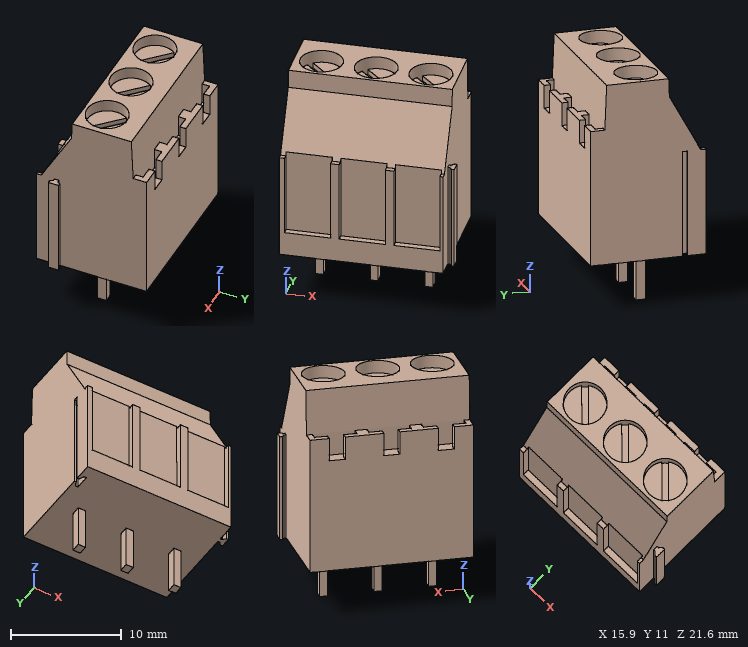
import cadquery as cq


pole_count = 3
pole_pitch = 5.08
overall_width = 15.9
overall_height = 21.6
housing_depth = 11.0
housing_width = pole_count * pole_pitch
pole_centers = [(pole + 0.5) * pole_pitch for pole in range(pole_count)]

pin_length = 4.5
pin_width = 0.75
pin_thickness = 0.9
pin_from_back = 5.46
pin_y = housing_depth - pin_from_back

housing_height = overall_height - pin_length
front_height = 10.0
front_shelf = 0.5
top_front_y = 3.5
top_front_height = 1.73
top_front_lean = 0.06
ledge_height = 12.85
ledge_depth = 1.35
back_wall_lean = 0.17

recess_width = 4.28
recess_bottom_depth = 0.63
recess_top_depth = 0.67
recess_bottom = 2.31
recess_top = 10.8
recess_center_offset = 0.1

t_stem_width = 1.5
t_stem_depth = 0.6
t_slot_drop = 2.15

screw_diameter = 3.95
screw_length = 3.02
screw_sink = 1.2
screw_from_back = 5.12
screw_y = housing_depth - screw_from_back
screw_top = housing_height - screw_sink
driver_slot_width = 0.6
driver_slot_depth = 0.5
driver_slot_angle = -45

dovetail_reach = overall_width - housing_width
dovetail_neck_width = 0.45
rail_head_width = 1.04
groove_head_width = 1.43
dovetail_neck_length = 0.2
dovetail_flare_end = 0.43
dovetail_y = 2.03


def make_profile_block():
    """Extrude the side profile of the housing across its width."""
    back_wall_y = housing_depth - ledge_depth
    outline = [
        (0, 0),
        (0, front_height),
        (front_shelf, front_height),
        (top_front_y, housing_height - top_front_height),
        (top_front_y + top_front_lean, housing_height),
        (back_wall_y - back_wall_lean, housing_height),
        (back_wall_y, ledge_height),
        (housing_depth, ledge_height),
        (housing_depth, 0),
    ]
    return cq.Workplane("YZ").polyline(outline).close().extrude(housing_width)


def make_dovetail(root_x, head_width):
    """Dovetail bar whose neck starts at root_x and whose head points to +X."""
    half_neck = dovetail_neck_width / 2
    half_head = head_width / 2
    outline = [
        (0, -half_neck),
        (dovetail_neck_length, -half_neck),
        (dovetail_flare_end, -half_head),
        (dovetail_reach, -half_head),
        (dovetail_reach, half_head),
        (dovetail_flare_end, half_head),
        (dovetail_neck_length, half_neck),
        (0, half_neck),
    ]
    bar = cq.Workplane("XY").polyline(outline).close().extrude(front_height)
    return bar.translate((root_x, dovetail_y, 0))


def make_wire_recess(pole_x):
    """Pocket in the front face, slightly deeper towards the top, that cuts into the sloping face."""
    outline = [
        (0, recess_bottom),
        (recess_bottom_depth, recess_bottom),
        (recess_top_depth, recess_top),
        (0, recess_top),
    ]
    pocket = cq.Workplane("YZ").polyline(outline).close().extrude(recess_width / 2, both=True)
    return pocket.translate((pole_x + recess_center_offset, 0, 0))


def make_t_slot(pole_x):
    """T-shaped pocket in the ledge: a narrow stem open to the back and a wide bar at the wall."""
    bar_depth = ledge_depth - t_stem_depth
    bar = cq.Workplane("XY").box(screw_diameter, bar_depth, t_slot_drop, centered=(True, False, False))
    stem = cq.Workplane("XY").box(t_stem_width, ledge_depth, t_slot_drop, centered=(True, False, False))
    return bar.union(stem).translate((pole_x, housing_depth - ledge_depth, ledge_height - t_slot_drop))


def make_screw_hole(pole_x):
    """Blind round hole from the top face down to the lower end of the screw."""
    hole = cq.Workplane("XY").circle(screw_diameter / 2).extrude(screw_sink + screw_length)
    return hole.translate((pole_x, screw_y, screw_top - screw_length))


def make_housing():
    body = make_profile_block().union(make_dovetail(housing_width, rail_head_width))
    body = body.cut(make_dovetail(0, groove_head_width))
    for pole_x in pole_centers:
        body = body.cut(make_wire_recess(pole_x))
        body = body.cut(make_t_slot(pole_x))
        body = body.cut(make_screw_hole(pole_x))
    return body


def make_screw(pole_x):
    """Cylindrical screw with a straight diagonal driver slot across its top."""
    slot = (
        cq.Workplane("XY")
        .box(2 * screw_diameter, driver_slot_width, driver_slot_depth, centered=(True, True, False))
        .rotate((0, 0, 0), (0, 0, 1), driver_slot_angle)
        .translate((0, 0, screw_length - driver_slot_depth))
    )
    screw = cq.Workplane("XY").circle(screw_diameter / 2).extrude(screw_length).cut(slot)
    return screw.translate((pole_x, screw_y, screw_top - screw_length))


def make_pin(pole_x):
    """Rectangular solder pin hanging from the underside of the housing."""
    pin = cq.Workplane("XY").rect(pin_width, pin_thickness).extrude(-pin_length)
    return pin.translate((pole_x, pin_y, 0))


housing = make_housing()
screws = [make_screw(pole_x).val() for pole_x in pole_centers]
pins = [make_pin(pole_x).val() for pole_x in pole_centers]

result = cq.Compound.makeCompound([housing.val(), *screws, *pins])